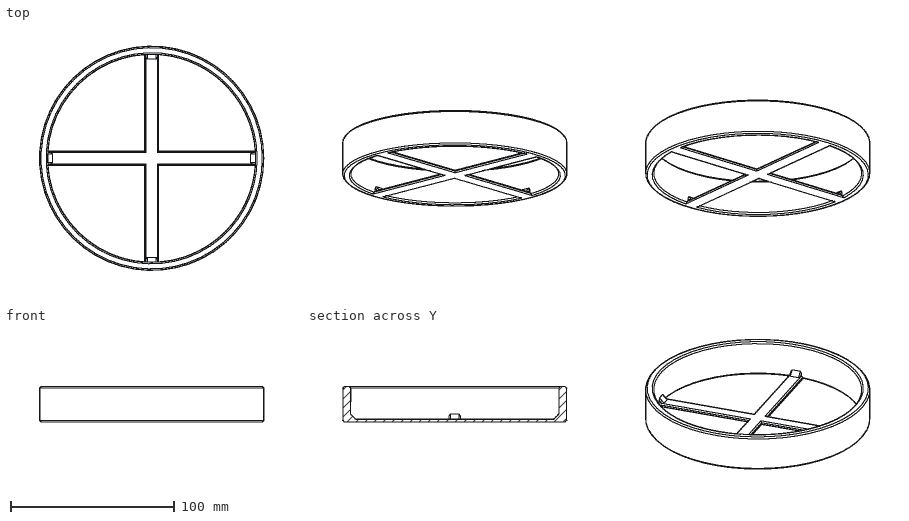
import cadquery as cq

outer_diameter = 137.5
inner_diameter = 127.5
ring_height = 22.0
ring_chamfer = 1.0

spoke_width = 8.7
spoke_thickness = 1.9
spoke_chamfer = 0.8

gusset_size = 3.0
gusset_chamfer = 0.8
gusset_width = spoke_width - 2 * spoke_chamfer

inner_radius = inner_diameter / 2
joint_radius = (outer_diameter + inner_diameter) / 4
spoke_count = 4


def make_ring():
    ring = cq.Workplane("XY").circle(outer_diameter / 2).circle(inner_radius).extrude(ring_height)
    return ring.faces("<Z or >Z").edges().chamfer(ring_chamfer)


def make_spokes():
    length = 2 * joint_radius
    along_x = cq.Workplane("XY").rect(length, spoke_width).extrude(spoke_thickness)
    along_y = cq.Workplane("XY").rect(spoke_width, length).extrude(spoke_thickness)
    return along_x.union(along_y).faces(">Z").edges().chamfer(spoke_chamfer)


def make_gusset():
    """A 45-degree wedge on the +X spoke, with bevelled edges along its slope."""
    toe = inner_radius - gusset_size
    rise = joint_radius - toe
    wedge = (
        cq.Workplane("XZ")
        .moveTo(toe - spoke_thickness, 0)
        .lineTo(joint_radius, 0)
        .lineTo(joint_radius, spoke_thickness + rise)
        .close()
        .extrude(gusset_width / 2, both=True)
    )
    slope = wedge.faces(cq.selectors.DirectionMinMaxSelector(cq.Vector(-1, 0, 1)))
    return slope.edges("#Y").edges("not(#Z)").chamfer(gusset_chamfer)


result = make_ring().union(make_spokes())
gusset = make_gusset()
for index in range(spoke_count):
    angle = index * 360 / spoke_count
    result = result.union(gusset.rotate((0, 0, 0), (0, 0, 1), angle))